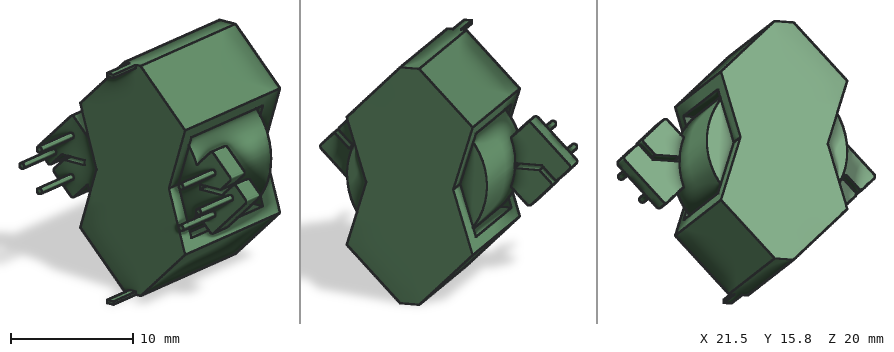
import cadquery as cq
import math

core_depth = 12.77
core_half_height = 10.0
crown_half_width = 0.82
shoulder_x = 5.4
shoulder_z = core_half_height - (shoulder_x - crown_half_width)
waist_x = 3.74

window_front = 1.27
window_back = 10.89
window_half_height = 4.38
winding_radius = 6.01
winding_back = 10.8

plate_thickness = 1.9
plate_reach = 10.74
corner_radius = 0.25
plate_tip = plate_reach + corner_radius * (math.sqrt(2) - 1)
plate_half_height = 3.65
plate_corner_x = plate_tip - plate_half_height
plate_root_x = plate_corner_x - plate_half_height

slot_width = 0.43
slot_z = -0.25
slot_inner_x = 5.95
slot_bend_x = 8.18
slot_run = 3.44

pin_length = 3.03
pin_radius = 0.25
pin_spacing = 1.8
inner_pin_x = 7.3
pins = [
    (-inner_pin_x, pin_spacing),
    (-inner_pin_x, -pin_spacing),
    (-inner_pin_x - pin_spacing, 0),
]
tab_width = 0.67
tab_thickness = 0.28


def plane_at(y):
    """Sketch plane with local axes X and Z; positive extrusion goes toward -Y."""
    return cq.Workplane("XZ", origin=(0, y, 0))


def make_core():
    quarter = [(crown_half_width, core_half_height), (shoulder_x, shoulder_z)]
    right_side = quarter + [(waist_x, 0)] + [(x, -z) for x, z in reversed(quarter)]
    left_side = [(-x, z) for x, z in reversed(right_side)]
    block = plane_at(core_depth).polyline(right_side + left_side).close().extrude(core_depth)
    window_depth = window_back - window_front
    window = plane_at(window_back).rect(2 * shoulder_x, 2 * window_half_height).extrude(window_depth)
    return block.cut(window)


def make_winding():
    return plane_at(winding_back).circle(winding_radius).extrude(winding_back - window_front)


def make_slot():
    """Slot running outward along X, then bending 45 degrees down to the plate edge."""
    half = slot_width / 2
    bend_shift = half * math.tan(math.radians(22.5))
    upper_bend = (-slot_bend_x - bend_shift, slot_z + half)
    lower_bend = (-slot_bend_x + bend_shift, slot_z - half)
    outline = [
        (-slot_inner_x, slot_z + half),
        upper_bend,
        (upper_bend[0] - slot_run, upper_bend[1] - slot_run),
        (lower_bend[0] - slot_run, lower_bend[1] - slot_run),
        lower_bend,
        (-slot_inner_x, slot_z - half),
    ]
    return plane_at(window_front + plate_thickness).polyline(outline).close().extrude(plate_thickness)


def make_plate():
    """Left terminal plate with its slot and rounded outer corners."""
    outline = [
        (-plate_root_x, 0),
        (-plate_corner_x, plate_half_height),
        (-plate_tip, 0),
        (-plate_corner_x, -plate_half_height),
    ]
    plate = plane_at(window_front + plate_thickness).polyline(outline).close().extrude(plate_thickness)
    plate = plate.cut(make_slot())
    outer_corners = cq.selectors.BoxSelector(
        (-plate_tip - 0.21, window_front, -plate_half_height - 0.21),
        (-slot_bend_x - slot_width, window_front + plate_thickness, 0.21),
    )
    top_and_bottom = plate.edges("|Y").edges(">Z or <Z")
    corners = plate.edges("|Y").edges(outer_corners).add(top_and_bottom)
    return corners.fillet(corner_radius)


def make_pins():
    return plane_at(window_front).pushPoints(pins).circle(pin_radius).extrude(window_front + pin_length)


def make_tabs():
    tab_z = core_half_height - tab_thickness / 2
    sketch = plane_at(0).pushPoints([(0, tab_z), (0, -tab_z)])
    return sketch.rect(tab_width, tab_thickness).extrude(pin_length)


def turned(shape):
    """The same shape turned half a revolution about the winding axis."""
    return shape.rotate((0, 0, 0), (0, 1, 0), 180)


plate = make_plate()
slot = make_slot()
terminal_pins = make_pins()

result = make_core().union(make_winding()).union(make_tabs())
for side_plate, side_slot, side_pins in [
    (plate, slot, terminal_pins),
    (turned(plate), turned(slot), turned(terminal_pins)),
]:
    result = result.union(side_plate).cut(side_slot).union(side_pins)